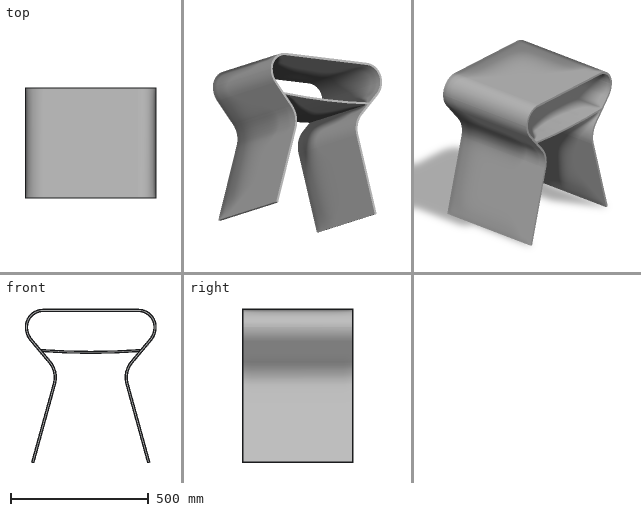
import cadquery as cq
import math

width = 476.0
depth = 400.0
height = 558.0
thickness = 8.5

shoulder_radius = 65.0
flank_radius = 77.0
waist_radius = 83.0
slope_angle = math.radians(40)
leg_angle = math.radians(15.4)
slope_drop = 80.5

shelf_thickness = 8.0
shelf_end_top = 412.0
shelf_sag = 6.5


def polar(center, radius, angle):
    """Point at an angle below the +X direction, seen in the XZ plane."""
    return (center[0] + radius * math.cos(angle), center[1] - radius * math.sin(angle))


def mirrored(point):
    return (-point[0], point[1])


widest_z = height - shoulder_radius
shoulder_center = (width / 2 - shoulder_radius, widest_z)
flank_center = (width / 2 - flank_radius, widest_z)
slope_top = polar(flank_center, flank_radius, slope_angle)
slope_bottom = (slope_top[0] - slope_drop * math.tan(slope_angle), slope_top[1] - slope_drop)
waist_center = polar(slope_bottom, waist_radius, slope_angle)

waist_end = polar(waist_center, -waist_radius, -leg_angle)
leg_end_z = thickness * math.sin(leg_angle)
leg_length = (waist_end[1] - leg_end_z) / math.cos(leg_angle)


def half_path(inset):
    """Seat-to-floor points on +X: a line end, then three arcs (middle, end) and straights."""
    shoulder = shoulder_radius - inset
    flank = flank_radius - inset
    waist = -(waist_radius + inset)
    leg_top = polar(waist_center, waist, -leg_angle)
    return {
        "seat_edge": polar(shoulder_center, shoulder, -math.pi / 2),
        "shoulder_mid": polar(shoulder_center, shoulder, -math.pi / 4),
        "widest": polar(shoulder_center, shoulder, 0),
        "flank_mid": polar(flank_center, flank, slope_angle / 2),
        "slope_top": polar(flank_center, flank, slope_angle),
        "slope_bottom": polar(waist_center, waist, slope_angle),
        "waist_mid": polar(waist_center, waist, (slope_angle - leg_angle) / 2),
        "leg_top": leg_top,
        "leg_end": (
            leg_top[0] + leg_length * math.sin(leg_angle),
            leg_top[1] - leg_length * math.cos(leg_angle),
        ),
    }


def draw_down(sketch, p):
    """Trace a face from the seat edge to the leg end."""
    return (
        sketch.threePointArc(p["shoulder_mid"], p["widest"])
        .threePointArc(p["flank_mid"], p["slope_top"])
        .lineTo(*p["slope_bottom"])
        .threePointArc(p["waist_mid"], p["leg_top"])
        .lineTo(*p["leg_end"])
    )


def draw_up(sketch, p):
    """Trace a face from the leg end to the seat edge."""
    return (
        sketch.lineTo(*p["leg_top"])
        .threePointArc(p["waist_mid"], p["slope_bottom"])
        .lineTo(*p["slope_top"])
        .threePointArc(p["flank_mid"], p["widest"])
        .threePointArc(p["shoulder_mid"], p["seat_edge"])
    )


def mirrored_path(path):
    return {name: mirrored(point) for name, point in path.items()}


def extrude_depth(outline):
    return outline.close().extrude(depth / 2, both=True)


def make_frame():
    """Seat, sides and legs as one bent sheet."""
    outer = half_path(0)
    inner = half_path(thickness)
    outer_left = mirrored_path(outer)
    inner_left = mirrored_path(inner)
    outline = cq.Workplane("XZ").moveTo(*outer_left["seat_edge"]).lineTo(*outer["seat_edge"])
    outline = draw_down(outline, outer).lineTo(*inner["leg_end"])
    outline = draw_up(outline, inner).lineTo(*inner_left["seat_edge"])
    outline = draw_down(outline, inner_left).lineTo(*outer_left["leg_end"])
    outline = draw_up(outline, outer_left)
    return extrude_depth(outline)


def make_shelf():
    """Sagging shelf whose ends lie flat against the inner faces of the slopes."""
    slope_start = half_path(thickness)["slope_top"]

    def end_point(z):
        return (slope_start[0] - (slope_start[1] - z) * math.tan(slope_angle), z)

    shelf_end_bottom = shelf_end_top - shelf_thickness
    top_end = end_point(shelf_end_top)
    bottom_end = end_point(shelf_end_bottom)
    outline = (
        cq.Workplane("XZ")
        .moveTo(*mirrored(top_end))
        .threePointArc((0, shelf_end_top - shelf_sag), top_end)
        .lineTo(*bottom_end)
        .threePointArc((0, shelf_end_bottom - shelf_sag), mirrored(bottom_end))
    )
    return extrude_depth(outline)


frame = make_frame()
shelf = make_shelf()

result = cq.Compound.makeCompound([frame.val(), shelf.val()])